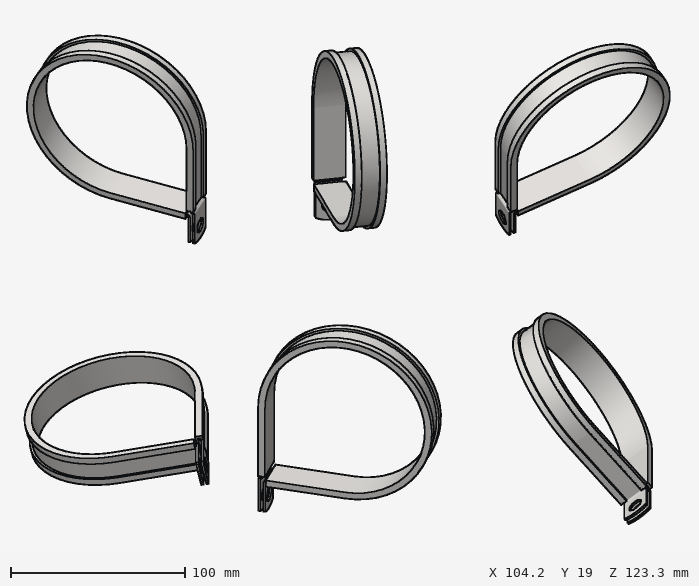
import cadquery as cq

outer_radius = 51.9
cushion_thickness = 4.2
cushion_width = 19.0
groove_width = 10.8
groove_depth = 1.5
side_leg_end_z = -45.6
bottom_leg_end_x = 47.1

strap_thickness = 1.2
strap_width = 16.0
tab_root_overlap = 1.2
tab_bottom_z = -71.4
lower_tab_outer_x = 49.3
upper_tab_outer_x = 52.3
tab_end_sagitta = 1.8
hole_diameter = 8.8
hole_z = -61.9
lower_bend_inner_radius = 1.0
jog_start_z = -46.2
jog_end_z = -48.0
jog_inner_drop = 0.5
jog_bend_radius = 1.2

strap_outer_radius = outer_radius - groove_depth
strap_inner_radius = strap_outer_radius - strap_thickness


def extrude_centred(profile, width):
    """Extrude an XZ profile by half the width to each side of Y = 0."""
    return profile.extrude(width / 2, both=True)


def loop_band(radius_out, radius_in, width):
    """Three-quarter ring with tangent legs running down and to the right."""
    diagonal = 0.5 ** 0.5
    profile = (
        cq.Workplane("XZ")
        .moveTo(radius_out, side_leg_end_z)
        .lineTo(radius_out, 0)
        .threePointArc((-radius_out * diagonal, radius_out * diagonal), (0, -radius_out))
        .lineTo(bottom_leg_end_x, -radius_out)
        .lineTo(bottom_leg_end_x, -radius_in)
        .lineTo(0, -radius_in)
        .threePointArc((-radius_in * diagonal, radius_in * diagonal), (radius_in, 0))
        .lineTo(radius_in, side_leg_end_z)
        .close()
    )
    return extrude_centred(profile, width)


def lower_tab():
    """Strap end leaving the bottom leg and bending straight down."""
    bend_z = -strap_outer_radius - lower_bend_inner_radius
    root_x = bottom_leg_end_x - tab_root_overlap
    inner_x = lower_tab_outer_x - strap_thickness
    profile = (
        cq.Workplane("XZ")
        .moveTo(root_x, -strap_inner_radius)
        .lineTo(bottom_leg_end_x, -strap_inner_radius)
        .tangentArcPoint((lower_tab_outer_x, bend_z), relative=False)
        .lineTo(lower_tab_outer_x, tab_bottom_z)
        .lineTo(inner_x, tab_bottom_z)
        .lineTo(inner_x, bend_z)
        .tangentArcPoint((bottom_leg_end_x, -strap_outer_radius), relative=False)
        .lineTo(root_x, -strap_outer_radius)
        .close()
    )
    return extrude_centred(profile, strap_width)


def upper_tab():
    """Strap end leaving the side leg and jogging outward before it drops."""
    root_z = side_leg_end_z + tab_root_overlap
    inner_x = upper_tab_outer_x - strap_thickness
    profile = (
        cq.Workplane("XZ")
        .moveTo(strap_outer_radius, root_z)
        .lineTo(strap_outer_radius, jog_start_z)
        .lineTo(upper_tab_outer_x, jog_end_z)
        .lineTo(upper_tab_outer_x, tab_bottom_z)
        .lineTo(inner_x, tab_bottom_z)
        .lineTo(inner_x, jog_end_z - jog_inner_drop)
        .lineTo(strap_inner_radius, jog_start_z - jog_inner_drop)
        .lineTo(strap_inner_radius, root_z)
        .close()
    )
    tab = extrude_centred(profile, strap_width)
    bend_edge = cq.selectors.NearestToPointSelector((upper_tab_outer_x, 0, jog_end_z))
    return tab.edges(bend_edge).fillet(jog_bend_radius)


def tab_outline():
    """Block with a bowed lower end, used to trim both tabs to shape."""
    half_width = strap_width / 2
    corner_z = tab_bottom_z + tab_end_sagitta
    return (
        cq.Workplane("YZ")
        .moveTo(-half_width, 0)
        .lineTo(-half_width, corner_z)
        .threePointArc((0, tab_bottom_z), (half_width, corner_z))
        .lineTo(half_width, 0)
        .close()
        .extrude(upper_tab_outer_x)
    )


def bolt_hole():
    """Cylinder along X passing through both tabs."""
    return (
        cq.Workplane("YZ")
        .center(0, hole_z)
        .circle(hole_diameter / 2)
        .extrude(upper_tab_outer_x)
    )


lip_width = (cushion_width - groove_width) / 2
lip_offset = (groove_width + lip_width) / 2
inner_radius = outer_radius - cushion_thickness
result = loop_band(strap_outer_radius, inner_radius, cushion_width)
for side in (-1, 1):
    lip = loop_band(outer_radius, inner_radius, lip_width)
    result = result.union(lip.translate((0, side * lip_offset, 0)))

for tab in (lower_tab(), upper_tab()):
    result = result.union(tab.intersect(tab_outline()).cut(bolt_hole()))